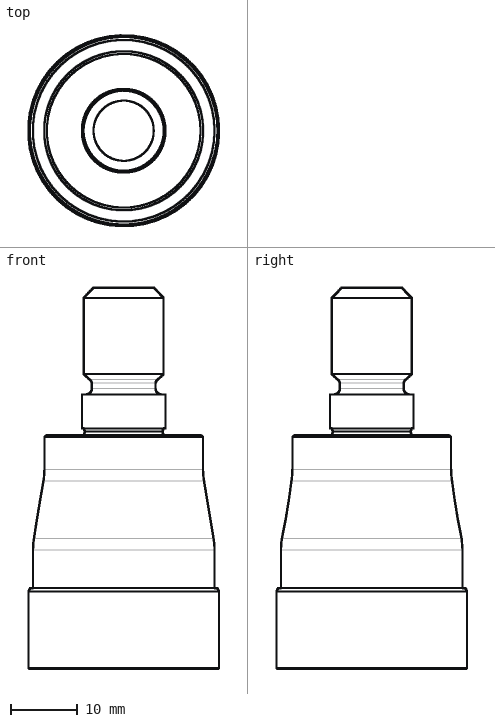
import cadquery as cq

base_diameter = 28.55
base_radius = base_diameter / 2
base_height = 12.1
base_edge = 0.5
bottom_chamfer = 0.15
body_diameter = 27.2
body_radius = body_diameter / 2
collar_diameter = 23.75
collar_radius = collar_diameter / 2
housing_height = 34.95
collar_edge_inset = 0.4
collar_edge_height = 0.3
blend_height = 1.7
shoulder_bottom = 17.8
shoulder_top = 29.8

overall_height = 57.0
shank_radius = 6.0
tip_radius = 4.5
tip_height = 1.55
shank_bottom = 44.05
runout_radius = 5.15
runout_height = 43.25
runout_fillet = 0.85
neck_radius = 4.8
neck_top = 42.75
neck_fillet = 0.85
flange_radius = 6.25
flange_top = 41.05
flange_bottom = 35.95
foot_radius = 6.0
foot_groove_depth = 0.15

taper_bottom = shoulder_bottom + blend_height
taper_top = shoulder_top - blend_height
taper_slope = (body_radius - collar_radius) / (taper_top - taper_bottom + blend_height)
blend_inset = taper_slope * blend_height / 2
taper_bottom_radius = body_radius - blend_inset
taper_top_radius = collar_radius + blend_inset


def revolve_profile(profile):
    """Close a half profile and revolve it about the Z axis."""
    return profile.close().revolve(360, (0, 0, 0), (0, 1, 0))


def make_housing():
    profile = (
        cq.Workplane("XZ")
        .lineTo(base_radius - bottom_chamfer, 0)
        .lineTo(base_radius, bottom_chamfer)
        .lineTo(base_radius, base_height - base_edge)
        .lineTo(base_radius - base_edge / 2, base_height)
        .lineTo(body_radius, base_height)
        .lineTo(body_radius, shoulder_bottom)
        .tangentArcPoint((taper_bottom_radius, taper_bottom), relative=False)
        .lineTo(taper_top_radius, taper_top)
        .tangentArcPoint((collar_radius, shoulder_top), relative=False)
        .lineTo(collar_radius, housing_height - collar_edge_height)
        .lineTo(collar_radius - collar_edge_inset, housing_height)
        .lineTo(0, housing_height)
    )
    return revolve_profile(profile)


def make_stud():
    groove_height = (housing_height + flange_bottom) / 2
    fillet_start = flange_top + neck_fillet
    profile = (
        cq.Workplane("XZ")
        .moveTo(0, housing_height)
        .lineTo(foot_radius, housing_height)
        .lineTo(foot_radius - foot_groove_depth, groove_height)
        .lineTo(foot_radius, flange_bottom)
        .lineTo(flange_radius, flange_bottom)
        .lineTo(flange_radius, flange_top)
        .lineTo(neck_radius + neck_fillet, flange_top)
        .radiusArc((neck_radius, fillet_start), neck_fillet)
        .lineTo(neck_radius, neck_top)
        .radiusArc((runout_radius, runout_height), runout_fillet)
        .lineTo(shank_radius, shank_bottom)
        .lineTo(shank_radius, overall_height - tip_height)
        .lineTo(tip_radius, overall_height)
        .lineTo(0, overall_height)
    )
    return revolve_profile(profile)


housing = make_housing()
stud = make_stud()
result = cq.Compound.makeCompound([housing.val(), stud.val()])